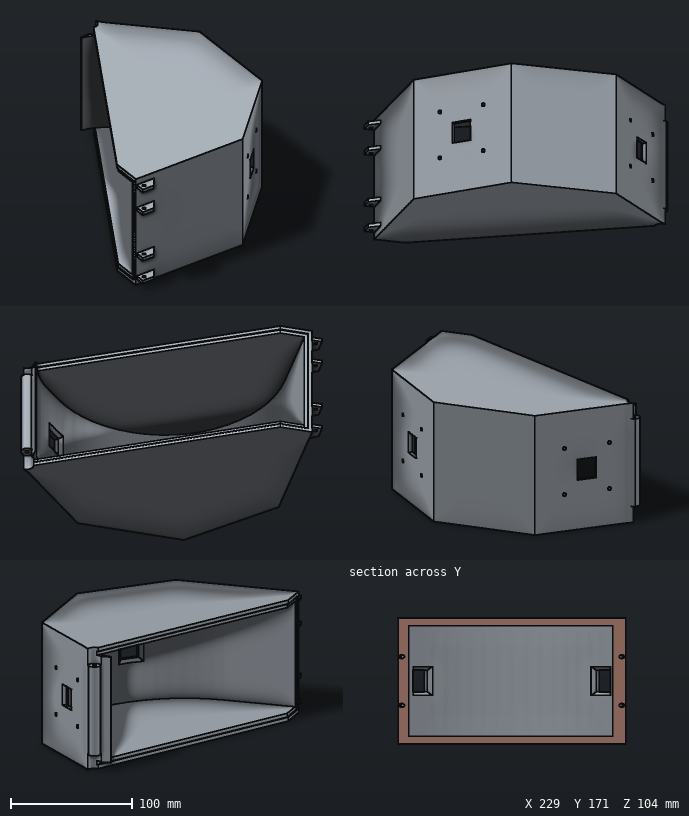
import cadquery as cq
import math

wall_distance = 109.2
height = 104.0
mouth_y = -61.8
mouth_corner_x = 82.2
side_wall = 6.5
end_plate = 6.6

lip = 3.5
step_depth = 1.03

hinge_x = -106.0
hinge_y = 42.8
knuckle_radius = 5.0
knuckle_height = 76.3
pin_diameter = 3.0
clearance_radius = 5.5
hinge_wall_x = -102.0
hinge_wall_end = (-109.0, 47.0)
mouth_start = (-102.0, 42.1)

flat_length = 2.0
left_flat_x = -84.7

fin_left_x = -102.4
fin_right_x = -101.0
fin_end_y = 29.8
fin_blend_x = -103.5
fin_blend_radius = 4.1

window_width = 16.7
window_height = 17.9
window_straight_depth = 3.7
window_flare = 3.0
wall_cut_drop = 1.1
screw_diameter = 2.7
screw_spacing = 40.0
screw_depth = 4.5

tab_end_x = 118.0
tab_bottom_y = -61.0
tab_corner_y = -50.0
tab_top_y = -43.5
tab_thickness = 3.0
tab_levels = (22.5, 44.7)
tab_hole_x = 113.5
tab_hole_y = -56.5
tab_hole_diameter = 2.7

overcut = 11.5
half_side = wall_distance * math.tan(math.pi / 8)
inner_distance = wall_distance - side_wall
inner_height = height - 2 * end_plate
left_flat_end = (left_flat_x, left_flat_x + inner_distance * math.sqrt(2))


def prism(outline, depth):
    """Extrude a closed outline along Z, centred on the XY plane."""
    return outline.extrude(depth / 2, both=True)


def upright_cylinder(radius, depth):
    """Cylinder on the hinge axis, centred on the XY plane."""
    return prism(cq.Workplane("XY").center(hinge_x, hinge_y).circle(radius), depth)


def on_inner_flat(angle, offset):
    """Point on the inner octagon side facing the angle, offset anticlockwise along that side."""
    turn = math.radians(angle)
    x = inner_distance * math.cos(turn) - offset * math.sin(turn)
    y = inner_distance * math.sin(turn) + offset * math.cos(turn)
    return (x, y)


def make_shell():
    hinge_wall_y = hinge_wall_x + wall_distance * math.sqrt(2)
    outline = cq.Workplane("XY").polyline([
        (wall_distance, mouth_y),
        (wall_distance, half_side),
        (half_side, wall_distance),
        (-half_side, wall_distance),
        (hinge_wall_x, hinge_wall_y),
        hinge_wall_end,
        mouth_start,
        (mouth_corner_x, mouth_y),
    ]).close()
    return prism(outline, height)


def make_cavity():
    half_flat = flat_length / 2
    outline = (
        cq.Workplane("XY")
        .moveTo(inner_distance, mouth_y - overcut)
        .lineTo(*on_inner_flat(0, half_flat))
        .tangentArcPoint(on_inner_flat(45, -half_flat), relative=False)
        .lineTo(*on_inner_flat(45, half_flat))
        .tangentArcPoint(on_inner_flat(90, -half_flat), relative=False)
        .lineTo(*on_inner_flat(90, half_flat))
        .tangentArcPoint(on_inner_flat(135, -half_flat), relative=False)
        .lineTo(*left_flat_end)
        .tangentArcPoint((fin_right_x, fin_end_y), relative=False)
        .lineTo(fin_right_x, mouth_y - overcut)
        .close()
    )
    return prism(outline, inner_height)


def make_mouth_step():
    """Band inside the lip, sunk by the step depth behind both mouth edges."""
    run = mouth_corner_x - mouth_start[0]
    drop = mouth_start[1] - mouth_y
    slope = drop / run
    step_y = mouth_y + step_depth
    slanted_rise = step_depth * math.hypot(run, drop) / run
    step_corner_x = mouth_corner_x + (slanted_rise - step_depth) / slope
    left_x = mouth_start[0] - overcut
    left_y = mouth_start[1] + overcut * slope + slanted_rise
    outline = cq.Workplane("XY").polyline([
        (left_x, left_y),
        (step_corner_x, step_y),
        (wall_distance - lip, step_y),
        (wall_distance - lip, mouth_y - overcut),
        (left_x, mouth_y - overcut),
    ]).close()
    return prism(outline, height - 2 * lip)


def make_fin(cavity):
    """Tapered end of the left wall; its cavity side is the cavity's own round face."""
    touch_y = hinge_y - math.sqrt(knuckle_radius ** 2 - (fin_blend_x - hinge_x) ** 2)
    blend_run = fin_left_x - fin_blend_x
    blend_y = touch_y - math.sqrt(fin_blend_radius ** 2 - (fin_blend_radius - blend_run) ** 2)
    outline = (
        cq.Workplane("XY")
        .moveTo(hinge_x, hinge_y)
        .lineTo(fin_blend_x, touch_y)
        .radiusArc((fin_left_x, blend_y), fin_blend_radius)
        .lineTo(fin_left_x, fin_end_y)
        .lineTo(fin_right_x, fin_end_y)
        .lineTo(*left_flat_end)
        .lineTo(fin_left_x, hinge_y + clearance_radius)
        .close()
    )
    return prism(outline, inner_height).cut(cavity)


def make_hinge_clearance():
    knuckle_space = upright_cylinder(clearance_radius, knuckle_height)
    return upright_cylinder(clearance_radius, height).cut(knuckle_space)


def make_wall_cuts(side):
    """Flared window and four blind screw holes in one slanted wall (side -1 left, +1 right)."""
    foot = wall_distance / math.sqrt(2)
    wall_plane = cq.Plane(origin=(side * foot, foot, 0), xDir=(1, -side, 0), normal=(side, 1, 0))
    face = cq.Workplane(wall_plane).center(side * wall_cut_drop, 0)
    inner_width = window_width + 2 * window_flare
    inner_window_height = window_height + 2 * window_flare
    window = face.rect(window_width, window_height).extrude(-window_straight_depth)
    flare = (
        face.workplane(offset=-window_straight_depth)
        .rect(window_width, window_height)
        .workplane(offset=-window_flare)
        .rect(inner_width, inner_window_height)
        .loft(ruled=True)
    )
    inner_window = (
        face.workplane(offset=-window_straight_depth - window_flare)
        .rect(inner_width, inner_window_height)
        .extrude(-overcut)
    )
    screws = (
        face.rect(screw_spacing, screw_spacing, forConstruction=True)
        .vertices()
        .circle(screw_diameter / 2)
        .extrude(-screw_depth)
    )
    return window.union(flare).union(inner_window).union(screws)


def make_tab(level):
    root_x = wall_distance - side_wall / 2
    outline = cq.Workplane("XY").polyline([
        (root_x, tab_bottom_y),
        (tab_end_x, tab_bottom_y),
        (tab_end_x, tab_corner_y),
        (wall_distance, tab_top_y),
        (root_x, tab_top_y),
    ]).close()
    hole = cq.Workplane("XY").center(tab_hole_x, tab_hole_y).circle(tab_hole_diameter / 2)
    tab = prism(outline, tab_thickness).cut(prism(hole, tab_thickness))
    return tab.translate((0, 0, level))


cavity = make_cavity()
result = make_shell().cut(cavity).cut(make_mouth_step())
result = result.union(make_fin(cavity))
result = result.cut(make_hinge_clearance())
result = result.union(upright_cylinder(knuckle_radius, knuckle_height))
result = result.cut(upright_cylinder(pin_diameter / 2, height))
for side in (-1, 1):
    result = result.cut(make_wall_cuts(side))
for level in tab_levels:
    result = result.union(make_tab(level)).union(make_tab(-level))